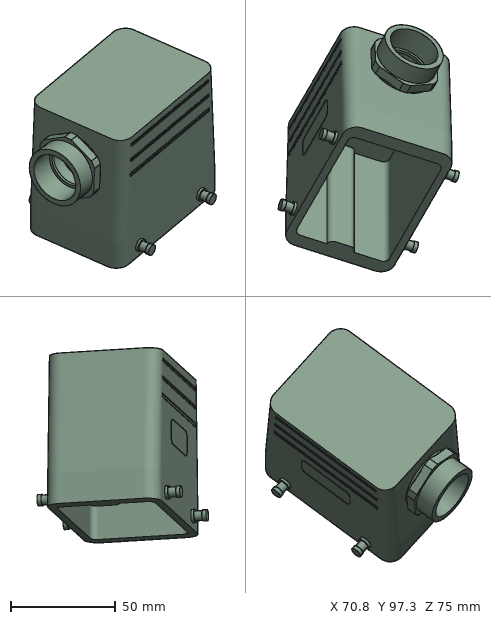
import cadquery as cq
import math

width = 56.2
base_length = 82.4
height = 75.0
base_height = 15.0
draft_angle = 3
corner_radius = 7.1
wall = 3.9

rib_width = 14.1
rib_radius = 3.1
rib_depth = 2.8

gland_height = 52.1
gland_length = 16.1
gland_diameter = 30.4
flange_diameter = 31.0
flange_thickness = 1.5
hex_thickness = 4.9
hex_across_flats = 32.3
hex_corner_diameter = 35.2
bore_diameter = 24.7
bore_depth = 12.7
lip_diameter = 21.8
lip_thickness = 1.5
wall_hole_diameter = 24.2

groove_tops = (4.1, 12.9, 21.5)
groove_widths = (1.4, 1.4, 1.7)
groove_depth = 0.5

label_length = 30.1
label_height = 12.3
label_radius = 3.1
label_center_height = 39.2
label_depth = 0.2

pin_spacing = 49.6
pin_height = 6.3
pin_reach = 7.3
collar_diameter = 6.5
collar_length = 1.4
shank_diameter = 4.9
head_diameter = 5.5
head_length = 2.0

draft_slope = math.tan(math.radians(draft_angle))
top_length = base_length - 2 * (height - base_height) * draft_slope
cavity_width = width - 2 * wall
cavity_length = top_length - 2 * wall
cavity_height = height - wall


def half_length_at(z):
    """Half the length of the drafted housing at height z."""
    return base_length / 2 - (z - base_height) * draft_slope


def housing():
    """Block with straight base, drafted end walls and rounded upright corners."""
    half_base = base_length / 2
    half_top = top_length / 2
    profile = [
        (-half_base, 0),
        (half_base, 0),
        (half_base, base_height),
        (half_top, height),
        (-half_top, height),
        (-half_base, base_height),
    ]
    block = cq.Workplane("YZ").polyline(profile).close().extrude(width / 2, both=True)
    return block.edges("not #Z").fillet(corner_radius)


def cavity():
    """Straight-walled cavity, open at the bottom, less the rounded rear rib."""
    room = (
        cq.Workplane("XY")
        .rect(cavity_width, cavity_length)
        .extrude(cavity_height)
        .edges("|Z")
        .fillet(corner_radius - wall)
    )
    rib = (
        cq.Workplane("XY")
        .center(0, (cavity_length + wall - rib_depth) / 2)
        .rect(rib_width, wall + rib_depth)
        .extrude(cavity_height)
        .edges("|Z and <Y")
        .fillet(rib_radius)
    )
    return room.cut(rib)


def gland_plane():
    """Plane on the front wall, its normal pointing out of the housing."""
    angle = math.radians(draft_angle)
    return cq.Plane(
        origin=(0, -half_length_at(gland_height), gland_height),
        xDir=(1, 0, 0),
        normal=(0, -math.cos(angle), math.sin(angle)),
    )


def gland_section(start, length, diameter):
    """Cylinder on the gland axis, starting at a distance out from the wall."""
    return cq.Workplane(gland_plane()).workplane(offset=start).circle(diameter / 2).extrude(length)


def gland():
    """Flange, corner-trimmed hexagon and sleeve, rooted in the wall."""
    hexagon = (
        cq.Workplane(gland_plane())
        .workplane(offset=flange_thickness)
        .polygon(6, hex_across_flats, circumscribed=True)
        .extrude(hex_thickness)
    )
    trim = gland_section(flange_thickness, hex_thickness, hex_corner_diameter)
    flange = gland_section(-wall / 2, flange_thickness + wall / 2, flange_diameter)
    sleeve = gland_section(0, gland_length, gland_diameter)
    return flange.union(hexagon.intersect(trim)).union(sleeve)


def gland_bore():
    """Passage into the cavity: mouth bore, narrow lip, then a hole through the wall."""
    lip_front = gland_length - bore_depth
    lip_back = lip_front - lip_thickness
    bore = gland_section(gland_length, -bore_depth, bore_diameter)
    lip_hole = gland_section(lip_front, -lip_thickness, lip_diameter)
    wall_hole = gland_section(lip_back, -lip_back - 2 * wall, wall_hole_diameter)
    return bore.union(lip_hole).union(wall_hole)


def groove(side, top, groove_width):
    """Cutter for one groove across the flat of a side wall."""
    center_height = height - top - groove_width / 2
    flat_length = 2 * (half_length_at(center_height) - corner_radius)
    return cq.Workplane("XY").box(2 * groove_depth, flat_length, groove_width).translate(
        (side * width / 2, 0, center_height)
    )


def label_recess():
    """Cutter for the shallow rounded panel on the left side wall."""
    return (
        cq.Workplane("YZ", origin=(-width / 2, 0, label_center_height))
        .rect(label_length, label_height)
        .extrude(label_depth)
        .edges("|X")
        .fillet(label_radius)
    )


def pin(side, y):
    """Collared locking pin standing out of a side wall."""
    wall_face = cq.Workplane("YZ", origin=(side * width / 2, y, pin_height))
    collar = wall_face.circle(collar_diameter / 2).extrude(side * collar_length)
    shank = wall_face.circle(shank_diameter / 2).extrude(side * pin_reach)
    head = (
        wall_face.workplane(offset=side * (pin_reach - head_length))
        .circle(head_diameter / 2)
        .extrude(side * head_length)
    )
    return collar.union(shank).union(head)


result = housing().cut(cavity()).union(gland()).cut(gland_bore()).cut(label_recess())

for side in (-1, 1):
    for top, groove_width in zip(groove_tops, groove_widths):
        result = result.cut(groove(side, top, groove_width))
    for y in (-pin_spacing / 2, pin_spacing / 2):
        result = result.union(pin(side, y))